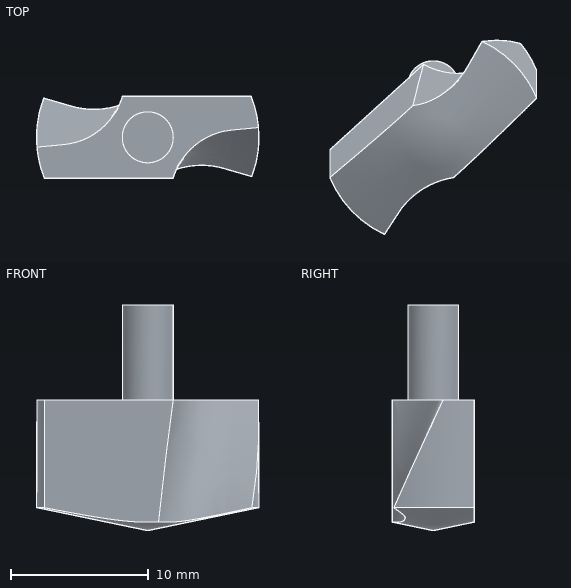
import cadquery as cq
import math

total_height = 16.4
body_diameter = 16.17
body_thickness = 5.97
body_top = 9.5
cone_height = 1.67
shank_diameter = 3.7

flute_arc_radius = 4.89
blend_x = 6.08
blend_y = 0.52
face_angle = 5.4
twist_rate = 3.293
flute_reach = 10.66
flute_depth = 6.56

body_radius = body_diameter / 2


def make_body():
    """Pointed cylinder trimmed to a flat blade."""
    pointed_cylinder = (
        cq.Workplane("XZ")
        .moveTo(0, 0)
        .lineTo(body_radius, cone_height)
        .lineTo(body_radius, body_top)
        .lineTo(0, body_top)
        .close()
        .revolve(360, (0, 0, 0), (0, 1, 0))
    )
    slab = cq.Workplane("XY").box(
        body_diameter, body_thickness, body_top, centered=(True, True, False)
    )
    return pointed_cylinder.intersect(slab)


def make_flute_cutter():
    """Helical cutter whose outline reaches its nominal position at the body top."""
    slope = math.radians(face_angle)
    center_x = blend_x + flute_arc_radius * math.sin(slope)
    center_y = blend_y - flute_arc_radius * math.cos(slope)

    mid_angle = (math.pi / 2 + slope + math.pi) / 2
    arc_middle = (
        center_x + flute_arc_radius * math.cos(mid_angle),
        center_y + flute_arc_radius * math.sin(mid_angle),
    )
    arc_end = (center_x - flute_arc_radius, center_y)
    face_end_y = blend_y + (flute_reach - blend_x) * math.tan(slope)

    total_twist = twist_rate * body_top
    return (
        cq.Workplane("XY")
        .moveTo(flute_reach, face_end_y)
        .lineTo(blend_x, blend_y)
        .threePointArc(arc_middle, arc_end)
        .lineTo(arc_end[0], -flute_depth)
        .lineTo(flute_reach, -flute_depth)
        .close()
        .twistExtrude(body_top, total_twist)
        .rotate((0, 0, 0), (0, 0, 1), -total_twist)
    )


def make_shank():
    """Round shank standing on the body."""
    return (
        cq.Workplane("XY")
        .workplane(offset=body_top)
        .circle(shank_diameter / 2)
        .extrude(total_height - body_top)
    )


flute = make_flute_cutter()
result = make_body()
for turn in (0, 180):
    result = result.cut(flute.rotate((0, 0, 0), (0, 0, 1), turn))
result = result.union(make_shank())